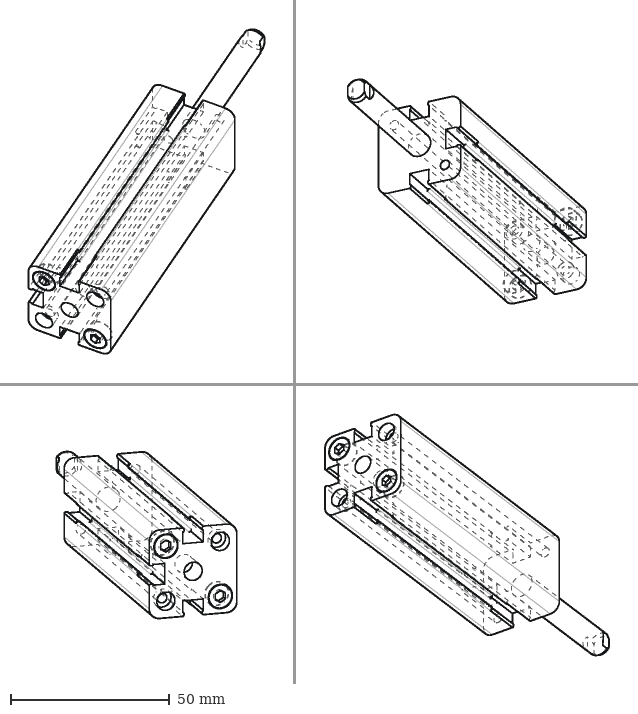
import cadquery as cq
import math

TOTAL_LENGTH = 132.5
BODY_SIZE = 29.0
CORNER_RADIUS = 3.5
ROD_STICK_OUT = 44.4
BODY_LENGTH = TOTAL_LENGTH - ROD_STICK_OUT
CAP_LENGTH = 12.3
TUBE_LENGTH = BODY_LENGTH - 2 * CAP_LENGTH

SLOT_WIDTH = 6.8
SLOT_DEPTH = 5.2
LIP_THICKNESS = 1.5
TUBE_LIP_HEIGHT = LIP_THICKNESS / 2
CAP_LIP_HEIGHT = 0.4
SLOT_FLOOR_RADIUS = 0.8

ROD_DIAMETER = 8.0
ROD_CHAMFER_LENGTH = 1.2
ROD_CHAMFER_HEIGHT = 0.7
FLAT_SPACING = 6.0
FLAT_LENGTH = 3.6

HOLE_OFFSET = 9.0
FACE_HOLE_DIAMETER = 6.0
MOUNTING_HOLE_DEPTH = 4.0
THROUGH_DIAMETER = 3.2
CENTRE_HOLE_DEPTH = 10.0
COUNTERBORE_DIAMETER = 8.0
SCREW_HEAD_DIAMETER = 7.5
HEAD_GAP_DEPTH = 4.0
HEX_ACROSS_FLATS = 3.3
HEX_DEPTH = 2.0


def section(y):
    """Workplane across the axis, at distance y behind the front face; its own axes are X and Z."""
    return cq.Workplane("XZ", origin=(0, y, 0))


def along_y(sketch, length):
    """Extrude a section towards +Y."""
    return sketch.extrude(-length)


def slot_cutter(y, length, lip_height, floor_radius):
    """Slot opening through the top face, with a rounded lip on each side of its mouth."""
    half = SLOT_WIDTH / 2
    top = BODY_SIZE / 2
    floor = top - SLOT_DEPTH
    lip_bottom = top - LIP_THICKNESS
    lip_middle = top - LIP_THICKNESS / 2
    lip_tip = half - lip_height
    outline = (
        section(y)
        .moveTo(-half, floor)
        .lineTo(half, floor)
        .lineTo(half, lip_bottom)
        .threePointArc((lip_tip, lip_middle), (half, top))
        .lineTo(-half, top)
        .threePointArc((-lip_tip, lip_middle), (-half, lip_bottom))
        .close()
    )
    cutter = along_y(outline, length)
    if floor_radius > 0:
        cutter = cutter.faces("<Z").edges("|Y").fillet(floor_radius)
    return cutter


def body_segment(y, length, lip_height, floor_radius):
    """Square block with rounded corners and slots on its top, bottom and -X sides."""
    block = along_y(section(y).rect(BODY_SIZE, BODY_SIZE), length).edges("|Y").fillet(CORNER_RADIUS)
    cutter = slot_cutter(y, length, lip_height, floor_radius)
    for angle in (0, 180, 270):
        block = block.cut(cutter.rotate((0, 0, 0), (0, 1, 0), angle))
    return block


def piston_rod():
    """Round rod with a chamfered tip and two wrench flats that run out at 45 degrees."""
    radius = ROD_DIAMETER / 2
    half_profile = [
        (0, BODY_LENGTH),
        (radius, BODY_LENGTH),
        (radius, TOTAL_LENGTH - ROD_CHAMFER_LENGTH),
        (radius - ROD_CHAMFER_HEIGHT, TOTAL_LENGTH),
        (0, TOTAL_LENGTH),
    ]
    rod = cq.Workplane("XY").polyline(half_profile).close().revolve(360, (0, 0), (0, 1))
    inner = FLAT_SPACING / 2
    outer = ROD_DIAMETER
    flat_end = TOTAL_LENGTH - FLAT_LENGTH
    flat_cutter = (
        cq.Workplane("XY")
        .polyline([
            (inner, TOTAL_LENGTH),
            (inner, flat_end),
            (outer, flat_end - (outer - inner)),
            (outer, TOTAL_LENGTH),
        ])
        .close()
        .extrude(ROD_DIAMETER, both=True)
    )
    return rod.cut(flat_cutter).cut(flat_cutter.mirror("YZ"))


def mounting_holes():
    """Wide holes on one diagonal that continue as narrower holes through the whole body."""
    points = [(HOLE_OFFSET, HOLE_OFFSET), (-HOLE_OFFSET, -HOLE_OFFSET)]
    wide = along_y(section(0).pushPoints(points).circle(FACE_HOLE_DIAMETER / 2), MOUNTING_HOLE_DEPTH)
    narrow = along_y(section(0).pushPoints(points).circle(THROUGH_DIAMETER / 2), BODY_LENGTH)
    return wide.union(narrow)


def centre_hole():
    """Blind hole in the middle of the front face."""
    return along_y(section(0).circle(FACE_HOLE_DIAMETER / 2), CENTRE_HOLE_DEPTH)


def screw_recess(x, z):
    """Thin gap around a screw head, and the hexagon socket in the head with corners up and down."""
    gap = section(0).center(x, z).circle(COUNTERBORE_DIAMETER / 2).circle(SCREW_HEAD_DIAMETER / 2)
    corners = HEX_ACROSS_FLATS / math.cos(math.pi / 6)
    socket = section(0).center(x, z).transformed(rotate=(0, 0, 30)).polygon(6, corners)
    return along_y(gap, HEAD_GAP_DEPTH).union(along_y(socket, HEX_DEPTH))


result = (
    body_segment(0, CAP_LENGTH, CAP_LIP_HEIGHT, 0)
    .union(body_segment(CAP_LENGTH, TUBE_LENGTH, TUBE_LIP_HEIGHT, SLOT_FLOOR_RADIUS))
    .union(body_segment(CAP_LENGTH + TUBE_LENGTH, CAP_LENGTH, CAP_LIP_HEIGHT, 0))
    .union(piston_rod())
)
result = result.cut(mounting_holes()).cut(centre_hole())

for side in (-1, 1):
    result = result.cut(screw_recess(side * HOLE_OFFSET, -side * HOLE_OFFSET))